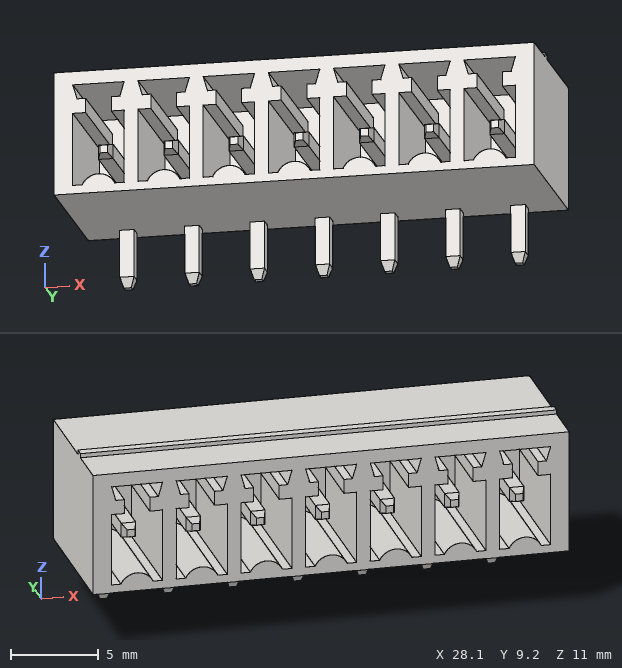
import cadquery as cq


pin_count = 7
pitch = 3.81
end_margin = 2.6

housing_length = (pin_count - 1) * pitch + 2 * end_margin
housing_depth = 9.2
housing_height = 7.3

rib_start = 2.9
rib_width = 0.6
rib_height = 0.25

pocket_depth = 7.2
pocket_width = 3.0
pocket_bottom = 0.5
pocket_top = 6.5
throat_width = 1.5
throat_bottom = 4.8
throat_top = 5.65
dovetail_base_width = 2.5
hump_width = 1.9
hump_height = 0.6

pin_size = 0.85
tip_size = 0.45
tip_length = 0.6
pin_drop = 3.4
contact_height = 3.0
contact_start = 1.4
leg_setback = 1.2


def make_housing():
    """Block with the full-length rib on its top face."""
    block = cq.Workplane("XY").box(
        housing_length, housing_depth, housing_height, centered=(True, False, False)
    )
    rib = (
        cq.Workplane("XY", origin=(0, rib_start, housing_height))
        .box(housing_length, rib_width, rib_height, centered=(True, False, False))
    )
    return block.union(rib)


def make_pocket(x):
    """Pocket with a flared top, a narrow throat and a rounded hump on its floor."""
    half_width = pocket_width / 2
    half_throat = throat_width / 2
    half_base = dovetail_base_width / 2
    half_hump = hump_width / 2
    return (
        cq.Workplane("XZ", origin=(x, 0, 0))
        .moveTo(-half_width, pocket_bottom)
        .lineTo(-half_hump, pocket_bottom)
        .threePointArc((0, pocket_bottom + hump_height), (half_hump, pocket_bottom))
        .lineTo(half_width, pocket_bottom)
        .lineTo(half_width, throat_bottom)
        .lineTo(half_throat, throat_bottom)
        .lineTo(half_throat, throat_top)
        .lineTo(half_base, throat_top)
        .lineTo(half_width, pocket_top)
        .lineTo(-half_width, pocket_top)
        .lineTo(-half_base, throat_top)
        .lineTo(-half_throat, throat_top)
        .lineTo(-half_throat, throat_bottom)
        .lineTo(-half_width, throat_bottom)
        .close()
        .extrude(-pocket_depth)
    )


def make_bar(plane, length):
    """Square bar along the plane normal, tapering to a flat tip at its far end."""
    shaft_length = length - tip_length
    shaft = cq.Workplane(plane).rect(pin_size, pin_size).extrude(shaft_length)
    tip = (
        cq.Workplane(plane)
        .workplane(offset=shaft_length)
        .rect(pin_size, pin_size)
        .workplane(offset=tip_length)
        .rect(tip_size, tip_size)
        .loft(ruled=True)
    )
    return shaft.union(tip)


def make_pin(x):
    """Right-angle pin: a contact pointing forward and a leg pointing down."""
    leg_y = housing_depth - leg_setback
    contact_plane = cq.Plane(origin=(x, leg_y, contact_height), xDir=(1, 0, 0), normal=(0, -1, 0))
    leg_plane = cq.Plane(origin=(x, leg_y, contact_height), xDir=(1, 0, 0), normal=(0, 0, -1))
    contact = make_bar(contact_plane, leg_y - contact_start)
    leg = make_bar(leg_plane, contact_height + pin_drop)
    return contact.union(leg)


result = make_housing()
for index in range(pin_count):
    pin_x = (index - (pin_count - 1) / 2) * pitch
    result = result.cut(make_pocket(pin_x)).union(make_pin(pin_x))